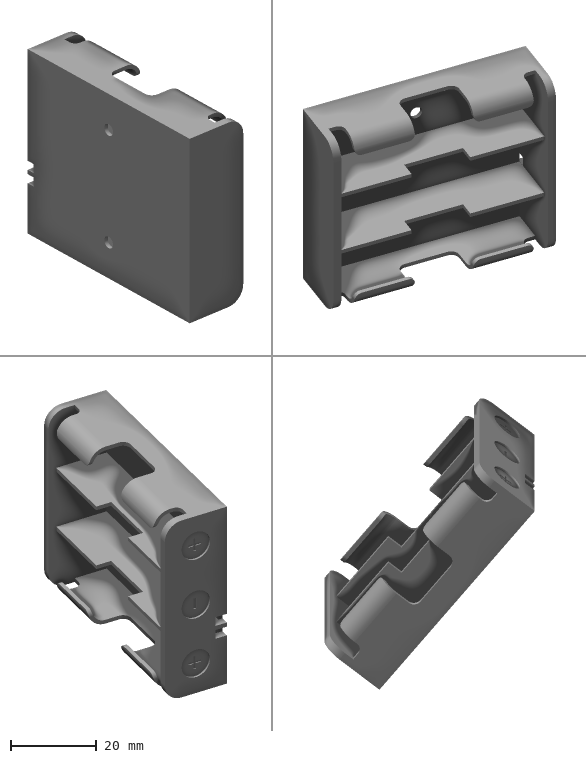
import cadquery as cq

length = 57.4
depth = 16.55
height = 49.0

side_wall = 1.05
end_wall = 2.05
corner_radius = 4.55
inner_corner_radius = corner_radius - side_wall
lip_edge = height / 2 - corner_radius

cell_pitch = 16.3
bay_centres = [-cell_pitch, 0, cell_pitch]
divider_centres = [-cell_pitch / 2, cell_pitch / 2]
divider_top = 14.45
divider_middle_top = 10.5

window_width = 15.15
window_depth = 10.1
window_radius = 2.05
end_notch_width = 3.55
end_notch_depth = 7.0
end_notch_radius = 1.7
lip_corner_radius = 1.7

mount_hole_diameter = 3.05
mount_hole_spacing = 29.9

wire_notch_height = 2.4
wire_notch_depth = 3.0
wire_notch_gap = 1.15

recess_diameter = 7.6
recess_depth = 0.5
mark_length = 3.45
mark_width = 0.6
minus_width = 0.8
minus_length = 2.85
mark_depth = 0.25


def box(x_range, y_range, z_range):
    """Box spanning the given (low, high) ranges."""
    sizes = [high - low for low, high in (x_range, y_range, z_range)]
    corner = (x_range[0], y_range[0], z_range[0])
    return cq.Workplane("XY").box(*sizes, centered=False).translate(corner)


def centred(middle, size):
    """Range of the given size about its middle."""
    return (middle - size / 2, middle + size / 2)


def tray():
    """Shell with rounded long edges, curled lips and an open +Y side."""
    outside = box((0, length), (0, depth), centred(0, height)).edges("|X and >Y").fillet(corner_radius)
    cavity_x = (end_wall, length - end_wall)
    cavity = box(cavity_x, (side_wall, depth - side_wall), centred(0, height - 2 * side_wall))
    cavity = cavity.edges("|X and >Y").fillet(inner_corner_radius)
    opening = box(cavity_x, (depth / 2, depth), centred(0, 2 * lip_edge))
    return outside.cut(cavity).cut(opening)


def divider(z):
    """Rib between two bays, lower along the window."""
    rib = box((end_wall, length - end_wall), (0, divider_top), centred(z, side_wall))
    saddle = box(centred(length / 2, window_width), (divider_middle_top, depth), centred(z, side_wall))
    return rib.cut(saddle)


def wall_cutter(x_low, x_high, cut_depth, radius, rounded_edges, lip_corners):
    """Cut-out through both long walls, with the lip corners beside it rounded off."""
    cutter = box((x_low, x_high), (depth - cut_depth, depth), centred(0, height))
    cutter = cutter.edges(rounded_edges).fillet(radius)
    for x, direction in lip_corners:
        for side in (-1, 1):
            z = side * lip_edge
            corner = (
                cq.Workplane("XZ", origin=(0, depth, 0))
                .moveTo(x, z)
                .lineTo(x + direction * lip_corner_radius, z)
                .radiusArc((x, z + side * lip_corner_radius), direction * side * lip_corner_radius)
                .close()
                .extrude(corner_radius)
            )
            cutter = cutter.union(corner)
    return cutter


def wall_cutters():
    """Central window and the two end notches."""
    window_low, window_high = centred(length / 2, window_width)
    near_end = end_wall + end_notch_width
    far_end = length - near_end
    return [
        wall_cutter(window_low, window_high, window_depth, window_radius, "|Z and <Y",
                    [(window_low, -1), (window_high, 1)]),
        wall_cutter(end_wall, near_end, end_notch_depth, end_notch_radius, "|Z and <Y and >X",
                    [(near_end, 1)]),
        wall_cutter(far_end, length - end_wall, end_notch_depth, end_notch_radius, "|Z and <Y and <X",
                    [(far_end, -1)]),
    ]


def mount_holes():
    return (
        cq.Workplane("XZ")
        .pushPoints([(length / 2, z) for z in centred(0, mount_hole_spacing)])
        .circle(mount_hole_diameter / 2)
        .extrude(-side_wall)
    )


def wire_notch(z):
    """Notch at the floor corner of the -X end."""
    return box((0, end_wall), (0, wire_notch_depth), centred(z, wire_notch_height))


def polarity_marks():
    """Round recesses, each with a plus or minus slot in its bottom."""
    middle = depth / 2
    slot_x = (0, recess_depth + mark_depth)
    cutter = (
        cq.Workplane("YZ")
        .pushPoints([(middle, z) for z in bay_centres])
        .circle(recess_diameter / 2)
        .extrude(recess_depth)
    )
    for z in bay_centres:
        if z == 0:
            cutter = cutter.union(box(slot_x, centred(middle, minus_width), centred(z, minus_length)))
        else:
            cutter = cutter.union(box(slot_x, centred(middle, mark_width), centred(z, mark_length)))
            cutter = cutter.union(box(slot_x, centred(middle, mark_length), centred(z, mark_width)))
    return cutter


result = tray()
for cutter in wall_cutters():
    result = result.cut(cutter)
for z in divider_centres:
    result = result.union(divider(z))
result = result.cut(mount_holes())
for z in centred(divider_centres[0], wire_notch_height + wire_notch_gap):
    result = result.cut(wire_notch(z))
result = result.cut(polarity_marks())